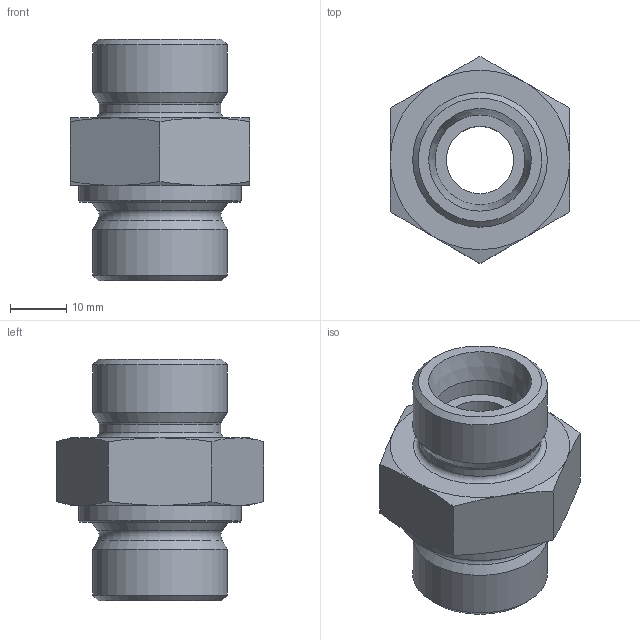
import cadquery as cq
import math


total_height = 43.0
stud_length = 14.0
collar_height = 3.0
hex_height = 12.0
collar_bottom = stud_length
hex_bottom = collar_bottom + collar_height
hex_top = hex_bottom + hex_height

thread_radius = 24.0 / 2
end_chamfer = 1.0
neck_radius = 21.7 / 2
runout_angle = math.radians(30.0)
runout_height = (thread_radius - neck_radius) / math.tan(runout_angle)

relief_neck_length = 2.6
relief_fillet = 1.0
relief_neck_top = hex_top + relief_neck_length

stud_thread_top = 9.18
groove_fillet = 1.6
groove_mouth_angle = math.radians(35.0)

collar_radius = 29.0 / 2
collar_chamfer = 0.2

across_flats = 32.0
across_corners = across_flats / math.cos(math.radians(30.0))
hex_face_radius = across_flats / 2
hex_chamfer_angle = math.radians(15.0)

bore_radius = 12.0 / 2
socket_radius = 16.0 / 2
socket_depth = 8.5
mouth_radius = 18.3 / 2
cone_half_angle = math.radians(12.0)
cone_depth = (mouth_radius - socket_radius) / math.tan(cone_half_angle)


def revolve_about_axis(profile):
    """Turn a closed radius/height profile about the Z axis."""
    return profile.close().revolve(360, (0, 0, 0), (0, 1, 0))


def make_stud_end():
    """Lower thread, its groove and the sealing collar."""
    corner_z = stud_thread_top + runout_height
    arc_center_r = neck_radius + groove_fillet
    arc_center_z = corner_z + groove_fillet * math.tan(runout_angle / 2)
    arc_end_r = arc_center_r - groove_fillet * math.cos(groove_mouth_angle)
    arc_end_z = arc_center_z + groove_fillet * math.sin(groove_mouth_angle)
    mouth_radius_at_collar = arc_end_r + (collar_bottom - arc_end_z) * math.tan(groove_mouth_angle)
    arc_start = (
        arc_center_r - groove_fillet * math.cos(runout_angle),
        arc_center_z - groove_fillet * math.sin(runout_angle),
    )
    profile = (
        cq.Workplane("XZ")
        .lineTo(thread_radius - end_chamfer, 0)
        .lineTo(thread_radius, end_chamfer)
        .lineTo(thread_radius, stud_thread_top)
        .lineTo(*arc_start)
        .threePointArc((neck_radius, arc_center_z), (arc_end_r, arc_end_z))
        .lineTo(mouth_radius_at_collar, collar_bottom)
        .lineTo(collar_radius - collar_chamfer, collar_bottom)
        .lineTo(collar_radius, collar_bottom + collar_chamfer)
        .lineTo(collar_radius, hex_bottom)
        .lineTo(0, hex_bottom)
    )
    return revolve_about_axis(profile)


def make_hexagon():
    """Hexagon with flats facing +X and -X and turned chamfers at both faces."""
    hex_turn = 30.0
    prism = (
        cq.Workplane("XY")
        .workplane(offset=hex_bottom)
        .polygon(6, across_corners)
        .extrude(hex_height)
        .rotate((0, 0, 0), (0, 0, 1), hex_turn)
    )
    corner_radius = across_corners / 2
    corner_drop = (corner_radius - hex_face_radius) * math.tan(hex_chamfer_angle)
    envelope = (
        cq.Workplane("XZ")
        .moveTo(0, hex_bottom)
        .lineTo(hex_face_radius, hex_bottom)
        .lineTo(corner_radius, hex_bottom + corner_drop)
        .lineTo(corner_radius, hex_top - corner_drop)
        .lineTo(hex_face_radius, hex_top)
        .lineTo(0, hex_top)
    )
    return prism.intersect(revolve_about_axis(envelope))


def make_cone_end():
    """Upper thread with its relief, blended into the hexagon face."""
    foot_middle_offset = relief_fillet * (1 - math.sqrt(0.5))
    blend_tangent = relief_fillet * math.tan(runout_angle / 2)
    blend_start_z = relief_neck_top - blend_tangent
    blend_center_r = neck_radius + relief_fillet
    blend_middle = (
        blend_center_r - relief_fillet * math.cos(runout_angle / 2),
        blend_start_z + relief_fillet * math.sin(runout_angle / 2),
    )
    blend_end = (
        blend_center_r - relief_fillet * math.cos(runout_angle),
        blend_start_z + relief_fillet * math.sin(runout_angle),
    )
    profile = (
        cq.Workplane("XZ")
        .moveTo(0, hex_top)
        .lineTo(blend_center_r, hex_top)
        .threePointArc(
            (neck_radius + foot_middle_offset, hex_top + foot_middle_offset),
            (neck_radius, hex_top + relief_fillet),
        )
        .lineTo(neck_radius, blend_start_z)
        .threePointArc(blend_middle, blend_end)
        .lineTo(thread_radius, relief_neck_top + runout_height)
        .lineTo(thread_radius, total_height - end_chamfer)
        .lineTo(thread_radius - end_chamfer, total_height)
        .lineTo(0, total_height)
    )
    return revolve_about_axis(profile)


def make_bore():
    """Through bore, tube socket and tapered mouth."""
    socket_floor = total_height - socket_depth
    profile = (
        cq.Workplane("XZ")
        .lineTo(bore_radius, 0)
        .lineTo(bore_radius, socket_floor)
        .lineTo(socket_radius, socket_floor)
        .lineTo(socket_radius, total_height - cone_depth)
        .lineTo(mouth_radius, total_height)
        .lineTo(0, total_height)
    )
    return revolve_about_axis(profile)


body = make_stud_end().union(make_hexagon()).union(make_cone_end())
result = body.cut(make_bore())